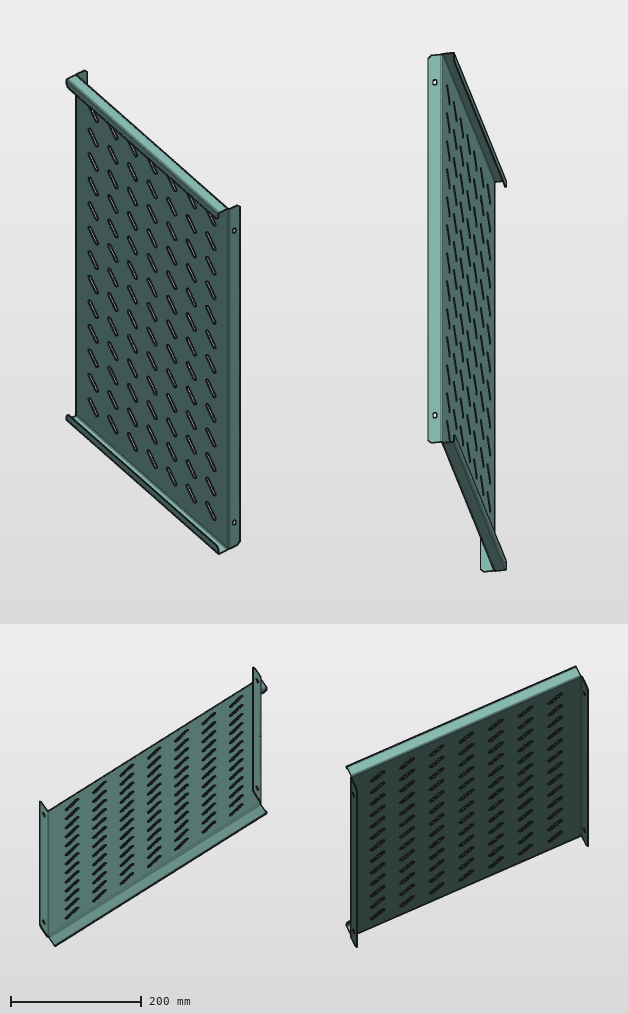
import cadquery as cq

WIDTH = 392.0
HEIGHT = 697
DEPTH = 41.0

SHEET = 1.5
BEND_INSIDE = 1.05
BEND_OUTSIDE = BEND_INSIDE + SHEET

PANEL_FRONT = -2.0
PANEL_BACK = PANEL_FRONT + SHEET
FRONT = -DEPTH / 2
BACK = DEPTH / 2

FLANGE_END_GAP = 2.0
FLANGE_HEIGHT = HEIGHT - 2 * FLANGE_END_GAP
FLANGE_CHAMFER = 5.2
FLANGE_HOLE_WIDTH = 6.0
FLANGE_HOLE_LENGTH = 9.0
FLANGE_HOLE_SPACING = 595.0
FLANGE_HOLE_FROM_PANEL = 12.0

RIM_END_GAP = 2.0
RIM_WIDTH = WIDTH - 2 * RIM_END_GAP
LIP_HEIGHT = 15.0
LIP_CORNER_RADIUS = 7.0

SLOT_COLUMNS = 7
SLOT_ROWS = 13
SLOT_FIELD_HEIGHT = 600.0
SLOT_PITCH = SLOT_FIELD_HEIGHT / (SLOT_ROWS - 1)
SLOT_LENGTH = 31.5
SLOT_WIDTH = 8.5
SLOT_ANGLE = -45


def make_panel():
    """Flat panel between the four bends."""
    panel_middle = (PANEL_FRONT + PANEL_BACK) / 2
    flat_width = WIDTH - 2 * BEND_OUTSIDE
    flat_height = HEIGHT - 2 * BEND_OUTSIDE
    return cq.Workplane("XY", origin=(0, panel_middle, 0)).box(flat_width, SHEET, flat_height)


def make_side_flange():
    """Left flange with its bend, chamfered rear corners and two short upright slots."""
    left = -WIDTH / 2
    bend_end = left + BEND_OUTSIDE
    bend_top = PANEL_FRONT + BEND_OUTSIDE
    flange = (
        cq.Workplane("XY")
        .moveTo(bend_end, PANEL_FRONT)
        .radiusArc((left, bend_top), BEND_OUTSIDE)
        .lineTo(left, BACK)
        .lineTo(left + SHEET, BACK)
        .lineTo(left + SHEET, bend_top)
        .radiusArc((bend_end, PANEL_BACK), -BEND_INSIDE)
        .close()
        .extrude(FLANGE_HEIGHT / 2, both=True)
        .faces(">Y").edges("|X").chamfer(FLANGE_CHAMFER)
    )
    hole_y = PANEL_FRONT + FLANGE_HOLE_FROM_PANEL
    holes = (
        cq.Workplane("YZ", origin=(left, hole_y, 0))
        .rarray(7, FLANGE_HOLE_SPACING, 1, 2)
        .slot2D(FLANGE_HOLE_LENGTH, FLANGE_HOLE_WIDTH, 90)
        .extrude(SHEET)
    )
    return flange.cut(holes)


def make_top_rim():
    """Top rim: bend, forward shelf, second bend and downward lip."""
    top = HEIGHT / 2
    bend_z = top - BEND_OUTSIDE
    shelf_back = PANEL_BACK - BEND_OUTSIDE
    shelf_front = FRONT + BEND_OUTSIDE
    lip_end = top - LIP_HEIGHT
    rim = (
        cq.Workplane("YZ")
        .moveTo(PANEL_BACK, bend_z)
        .radiusArc((shelf_back, top), -BEND_OUTSIDE)
        .lineTo(shelf_front, top)
        .radiusArc((FRONT, bend_z), -BEND_OUTSIDE)
        .lineTo(FRONT, lip_end)
        .lineTo(FRONT + SHEET, lip_end)
        .lineTo(FRONT + SHEET, bend_z)
        .radiusArc((shelf_front, top - SHEET), BEND_INSIDE)
        .lineTo(shelf_back, top - SHEET)
        .radiusArc((PANEL_FRONT, bend_z), BEND_INSIDE)
        .close()
        .extrude(RIM_WIDTH / 2, both=True)
    )
    return rim.faces("<Z").edges("|Y").fillet(LIP_CORNER_RADIUS)


def make_slots():
    """Cutters for the grid of diagonal slots through the panel."""
    return (
        cq.Workplane("XZ", origin=(0, PANEL_BACK, 0))
        .rarray(SLOT_PITCH, SLOT_PITCH, SLOT_COLUMNS, SLOT_ROWS)
        .slot2D(SLOT_LENGTH, SLOT_WIDTH, SLOT_ANGLE)
        .extrude(SHEET)
    )


flange = make_side_flange()
rim = make_top_rim()
result = make_panel().cut(make_slots())
for piece in (flange, flange.mirror("YZ"), rim, rim.mirror("XY")):
    result = result.union(piece)